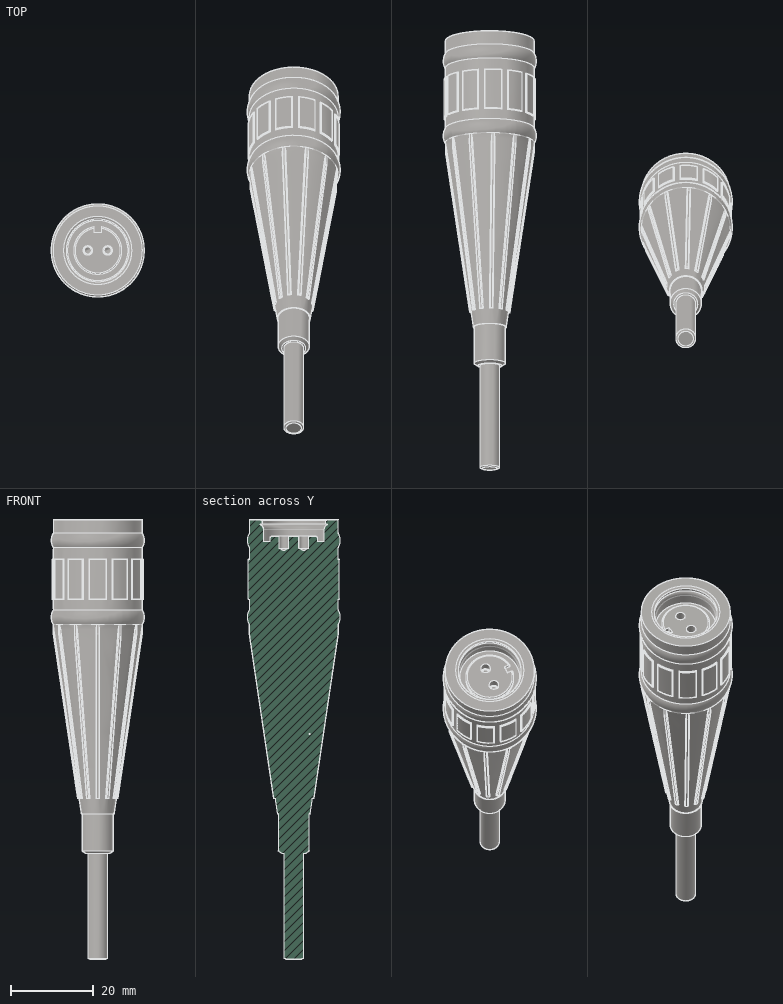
import cadquery as cq
import math


total_length = 106.51
body_diameter = 21.59
ring_diameter = 22.61
ring_height = 3.5
upper_ring_depth = 3.3
lower_ring_depth = 21.9

cone_start_depth = lower_ring_depth + ring_height
cone_end_depth = 71.3
cone_end_diameter = 8.0
sleeve_diameter = 7.62
sleeve_end_depth = 80.9
sleeve_chamfer_width = 0.9
sleeve_chamfer_height = 0.6
cable_diameter = 4.83
cable_chamfer_width = 0.55
cable_chamfer_height = 0.25

feature_count = 12
feature_step = 360 / feature_count
pad_diameter = 22.2
pad_width = 4.2
pad_chamfer = 0.13
pad_top_depth = 9.6
pad_bottom_depth = 19.4
rib_width = 0.9
rib_height = 0.35
rib_chamfer = 0.2
rib_end_depth = 67.6

mouth_diameter = 16.51
lip_diameter = 15.24
mouth_chamfer_depth = 0.25
lip_end_depth = 1.1
seal_groove_diameter = 17.27
socket_diameter = 14.61
socket_depth = 5.3

insert_diameter = 11.6
insert_depth = 4.0
insert_chamfer = 0.35
key_width = 1.7
key_floor_radius = 4.3
contact_pitch = 4.83
contact_mouth_diameter = 2.29
contact_bore_diameter = 1.73
contact_depth = 3.0
drill_tip_angle = 118

body_radius = body_diameter / 2
cone_end_radius = cone_end_diameter / 2
overlap = 1.0


def cylinder(diameter, top_depth, bottom_depth):
    """Solid cylinder on the Z axis between two depths."""
    height = bottom_depth - top_depth
    return cq.Workplane("XY").workplane(offset=-bottom_depth).circle(diameter / 2).extrude(height)


def make_body():
    """Turned outer shape from the mating face to the cable end."""
    sleeve_radius = sleeve_diameter / 2
    cable_radius = cable_diameter / 2
    ring_radius = ring_diameter / 2
    profile = (
        cq.Workplane("XZ")
        .lineTo(body_radius, 0)
        .lineTo(body_radius, -upper_ring_depth)
        .threePointArc(
            (ring_radius, -upper_ring_depth - ring_height / 2),
            (body_radius, -upper_ring_depth - ring_height),
        )
        .lineTo(body_radius, -lower_ring_depth)
        .threePointArc(
            (ring_radius, -lower_ring_depth - ring_height / 2),
            (body_radius, -cone_start_depth),
        )
        .lineTo(cone_end_radius, -cone_end_depth)
        .lineTo(sleeve_radius, -cone_end_depth)
        .lineTo(sleeve_radius, -sleeve_end_depth + sleeve_chamfer_height)
        .lineTo(sleeve_radius - sleeve_chamfer_width, -sleeve_end_depth)
        .lineTo(cable_radius, -sleeve_end_depth)
        .lineTo(cable_radius, -total_length + cable_chamfer_height)
        .lineTo(cable_radius - cable_chamfer_width, -total_length)
        .lineTo(0, -total_length)
        .close()
    )
    return profile.revolve(360, (0, 0, 0), (0, 1, 0))


def add_around_axis(body, feature):
    """Union copies of a feature, equally spaced around the Z axis."""
    for index in range(feature_count):
        body = body.union(feature.rotate((0, 0, 0), (0, 0, 1), index * feature_step))
    return body


def make_pad():
    """Raised grip pad on the +X side, with a chamfered cylindrical outer face."""
    height = pad_bottom_depth - pad_top_depth
    inner_radius = body_radius - overlap
    block = cq.Workplane("XY").box(2 * overlap, pad_width, height, centered=(False, True, False))
    block = block.translate((inner_radius, 0, -pad_bottom_depth))
    pad = block.intersect(cylinder(pad_diameter, pad_top_depth, pad_bottom_depth))
    return pad.faces(">X").chamfer(pad_chamfer)


def make_rib():
    """Rib along the cone on the +X side with chamfered long edges, limited by the body diameter."""
    slope = (body_radius - cone_end_radius) / (cone_end_depth - cone_start_depth)
    rib_end_radius = body_radius - slope * (rib_end_depth - cone_start_depth) + rib_height
    full_radius_depth = cone_start_depth + rib_height / slope
    rib = (
        cq.Workplane("XZ")
        .moveTo(body_radius - overlap, -cone_start_depth)
        .lineTo(body_radius, -cone_start_depth)
        .lineTo(body_radius, -full_radius_depth)
        .lineTo(rib_end_radius, -rib_end_depth)
        .lineTo(rib_end_radius - rib_height - overlap, -rib_end_depth)
        .close()
        .extrude(rib_width / 2, both=True)
    )
    return rib.edges("not (|X or |Y)").chamfer(rib_chamfer)


def make_socket():
    """Cavity with a chamfered mouth, a lip, and a groove above a rounded seal."""
    lip_radius = lip_diameter / 2
    groove_radius = seal_groove_diameter / 2
    socket_radius = socket_diameter / 2
    seal_radius = groove_radius - socket_radius
    seal_centre_depth = lip_end_depth + seal_radius
    arc_offset = seal_radius * math.sqrt(0.5)
    return (
        cq.Workplane("XZ")
        .lineTo(mouth_diameter / 2, 0)
        .lineTo(lip_radius, -mouth_chamfer_depth)
        .lineTo(lip_radius, -lip_end_depth)
        .lineTo(groove_radius, -lip_end_depth)
        .threePointArc(
            (groove_radius - arc_offset, -seal_centre_depth + arc_offset),
            (socket_radius, -seal_centre_depth),
        )
        .lineTo(socket_radius, -socket_depth)
        .lineTo(0, -socket_depth)
        .close()
        .revolve(360, (0, 0, 0), (0, 1, 0))
    )


def make_contact_hole():
    """Drilled contact hole with a step and a conical bottom, mouth centre at the origin."""
    mouth_radius = contact_mouth_diameter / 2
    bore_radius = contact_bore_diameter / 2
    tip_height = bore_radius / math.tan(math.radians(drill_tip_angle / 2))
    return (
        cq.Workplane("XZ")
        .lineTo(mouth_radius, 0)
        .lineTo(mouth_radius, -contact_depth)
        .lineTo(bore_radius, -contact_depth)
        .lineTo(0, -contact_depth - tip_height)
        .close()
        .revolve(360, (0, 0, 0), (0, 1, 0))
    )


def make_insert():
    """Round contact carrier with a keyway on the +Y side."""
    insert = cylinder(insert_diameter, insert_depth, socket_depth + overlap)
    insert = insert.faces(">Z").chamfer(insert_chamfer)
    keyway = cq.Workplane("XY").box(
        key_width, insert_diameter, socket_depth - insert_depth, centered=(True, False, False)
    )
    insert = insert.cut(keyway.translate((0, key_floor_radius, -socket_depth)))
    return insert


def cut_contact_holes(body):
    """Cut both contact holes down from the top of the insert."""
    for side in (-1, 1):
        body = body.cut(make_contact_hole().translate((side * contact_pitch / 2, 0, -insert_depth)))
    return body


connector = make_body()
connector = add_around_axis(connector, make_pad())
connector = add_around_axis(connector, make_rib())
connector = connector.cut(make_socket())
connector = connector.union(make_insert())
result = cut_contact_holes(connector)